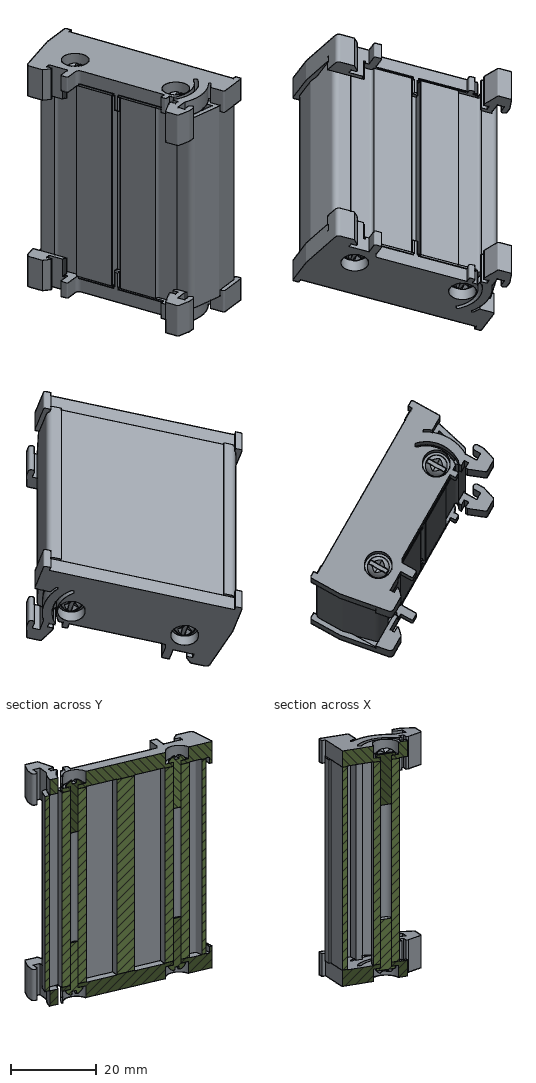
import cadquery as cq
import math


OVERALL_LENGTH = 58.0
CAP_WIDTH = 48.2
CAP_HEIGHT = 23.6
PLATE_THICKNESS = 4.0
RIM_DEPTH = 5.6
FOOT_DEPTH = 8.0
SKIRT = 1.12

CAP_END = OVERALL_LENGTH / 2
PROFILE_END = CAP_END - PLATE_THICKNESS
HALF_CAP = CAP_WIDTH / 2
CAP_TOP = CAP_HEIGHT / 2
CAP_BOTTOM = -CAP_TOP

SCREW_X = 13.76
SCREW_Y = -0.58
HEAD_RADIUS = 2.55
HEAD_HEIGHT = 1.8
HEAD_DOME = 1.5
SHANK_RADIUS = 1.4
SHANK_LENGTH = 12.0
DRIVE_SLOT_WIDTH = 1.0
DRIVE_DEPTH = 1.2
DRIVE_RECESS_RADIUS = 2.6
DRIVE_RECESS_FLOOR_RADIUS = 0.5
COUNTERBORE_RADIUS = 3.22
COUNTERBORE_DEPTH = 3.0

PROFILE_HALF_WIDTH = HALF_CAP - SKIRT
LIP_DROP = 0.48
PROFILE_TOP = CAP_TOP - LIP_DROP
PROFILE_BOTTOM = -4.87
PROFILE_KINK_Y = 3.75
PROFILE_TAPER = math.radians(14)
PROFILE_CORNER = 1.45
CAVITY_CORNER = 0.3
WALL = 1.35
LIP_INNER_X = 19.75
CHANNEL_WIDTH = 5.9
CHANNEL_DEPTH = 0.8
CHANNEL_FILLET = 0.65
GROOVE_WIDTH = 2.1
GROOVE_DEPTH = 2.5
GROOVE_CHAMFER = 0.2
PORT_RADIUS = 3.35
GUIDE_TOP = 4.7
GUIDE_THICKNESS = 1.67
GUIDE_INNER_X = 18.9

CAP_CORNER_HEIGHT = 1.0
CAP_FACE_Y = CAP_TOP - CAP_CORNER_HEIGHT
CAP_CORNER_WIDTH = 1.65
CAP_KINK_Y = 3.85
CAP_TAPER = math.radians(9.5)
PLATE_BOTTOM = -4.65
FOOT_BOTTOM = -8.85
FOOT_CORNER = 1.0
FOOT_END_X = -13.4
FOOT_STEP_WIDTH = 0.5
FOOT_STEP_Y = -5.3
RAIL_SEAT_Y = -5.9
HOOK_LIP_Y = -7.0
HOOK_ROOT_X = -17.6
HOOK_TIP_X = -16.2
HOOK_TIP_Y = -7.4
LEG_LEFT = -12.55
LEG_RIGHT = -10.6
LEG_BOTTOM = -9.05
LEG_FILLET = 1.0
STUB_LEFT = 13.05
STUB_RIGHT = 14.5
STUB_BOTTOM = -6.15
RIGHT_SIDE_BOTTOM = 4.1
LEDGE_THICKNESS = 0.5
LEDGE_END_X = 15.2
OUTER_CORNER = 0.4
LEG_CORNER = 0.3
LATCH_CORNER = 0.4
KEY_WIDTH = 1.3
KEY_HEIGHT = 1.2
KEY_BEVEL = 0.33

ARM_CENTRE_X = 9.83
ARM_CENTRE_Y = -0.1
ARM_INNER_RADIUS = 8.4
ARM_OUTER_RADIUS = 10.67
SLOT_WIDTH = 1.0
SLOT_START = math.radians(45)
NOTCH_WIDTH = 0.6
NOTCH_START = math.radians(31.5)
ARM_INNER_END_Y = -4.7
ARM_OUTER_END_Y = -5.3
LATCH_NOSE_X = 16.2
LATCH_NOSE_Y = -5.3
LATCH_SEAT_X = 17.6
LATCH_TIP_Y = -7.6
LATCH_BASE_LEFT = 17.8
LATCH_BASE_RIGHT = 21.25
RELEASE_LEFT = 19.1
RELEASE_RIGHT = 20.9
RELEASE_OUTER = 22.35
RELEASE_FLOOR = -8.4
RELEASE_TOP = -6.1
RELEASE_ROUND = 0.7


def box(x0, x1, y0, y1, z0, z1):
    return cq.Workplane("XY").box(x1 - x0, y1 - y0, z1 - z0, centered=False).translate((x0, y0, z0))


def cylinder(x, y, radius, z0, z1):
    return cq.Workplane("XY").circle(radius).extrude(z1 - z0).translate((x, y, z0))


def arm_point(radius, angle):
    """Point on an arc about the spring arm centre."""
    return (ARM_CENTRE_X + radius * math.cos(angle), ARM_CENTRE_Y + radius * math.sin(angle))


def arm_angle(radius, y):
    """Angle at which an arc about the spring arm centre reaches height y."""
    return math.asin((y - ARM_CENTRE_Y) / radius)


def profile_blank(inset=0.0, corner=PROFILE_CORNER):
    """Filled six-sided section of the profile, all sides moved in by inset."""
    half_width = PROFILE_HALF_WIDTH - inset
    kink_y = PROFILE_KINK_Y - inset * math.tan(PROFILE_TAPER / 2)
    bottom = PROFILE_BOTTOM + inset
    bottom_half = half_width - (kink_y - bottom) * math.tan(PROFILE_TAPER)
    points = [
        (-half_width, PROFILE_TOP - inset), (half_width, PROFILE_TOP - inset), (half_width, kink_y),
        (bottom_half, bottom), (-bottom_half, bottom), (-half_width, kink_y),
    ]
    blank = (
        cq.Workplane("XY").workplane(offset=-PROFILE_END)
        .polyline(points).close().extrude(2 * PROFILE_END)
    )
    return blank.edges("|Z and (>Y or <Y)").fillet(corner)


def make_profile():
    bar_length = 2 * PROFILE_END
    cavity = profile_blank(WALL, CAVITY_CORNER).intersect(
        box(-HALF_CAP, HALF_CAP, PROFILE_BOTTOM, CAP_FACE_Y - WALL, -PROFILE_END, PROFILE_END)
    )
    fillings = box(
        -GROOVE_WIDTH / 2 - WALL, GROOVE_WIDTH / 2 + WALL,
        PROFILE_BOTTOM, PROFILE_BOTTOM + GROOVE_DEPTH + WALL, -PROFILE_END, PROFILE_END,
    )
    for side in (-1, 1):
        screw_x = side * SCREW_X
        port = cylinder(screw_x, SCREW_Y, PORT_RADIUS, -PROFILE_END, PROFILE_END)
        port_web = box(
            screw_x - PORT_RADIUS, screw_x + PORT_RADIUS, PROFILE_BOTTOM, SCREW_Y, -PROFILE_END, PROFILE_END
        )
        guide_ends = sorted((side * GUIDE_INNER_X, side * HALF_CAP))
        guide = box(*guide_ends, GUIDE_TOP - GUIDE_THICKNESS, GUIDE_TOP, -PROFILE_END, PROFILE_END)
        fillings = fillings.union(port).union(port_web).union(guide)
    body = profile_blank().cut(cavity.cut(fillings))

    body = body.cut(box(-LIP_INNER_X, LIP_INNER_X, CAP_FACE_Y, CAP_TOP, -PROFILE_END, PROFILE_END))
    for side in (-1, 1):
        channel = box(
            side * SCREW_X - CHANNEL_WIDTH / 2, side * SCREW_X + CHANNEL_WIDTH / 2,
            PROFILE_BOTTOM, PROFILE_BOTTOM + CHANNEL_DEPTH, -PROFILE_END, PROFILE_END,
        ).edges("|Z and >Y").fillet(CHANNEL_FILLET)
        screw_hole = cylinder(side * SCREW_X, SCREW_Y, SHANK_RADIUS, -PROFILE_END, PROFILE_END)
        body = body.cut(channel).cut(screw_hole)
    mouth = GROOVE_WIDTH / 2 + GROOVE_CHAMFER
    groove = (
        cq.Workplane("XY").workplane(offset=-PROFILE_END).center(0, PROFILE_BOTTOM)
        .polyline([
            (-mouth, 0), (mouth, 0), (GROOVE_WIDTH / 2, GROOVE_CHAMFER), (GROOVE_WIDTH / 2, GROOVE_DEPTH),
            (-GROOVE_WIDTH / 2, GROOVE_DEPTH), (-GROOVE_WIDTH / 2, GROOVE_CHAMFER),
        ]).close().extrude(bar_length)
    )
    return body.cut(groove)


def cap_outline():
    """Outline of the upper cap, with the hook foot at -X and the spring latch at +X."""
    slot_radius = ARM_INNER_RADIUS - SLOT_WIDTH
    slot_mouth = arm_angle(slot_radius, PLATE_BOTTOM)
    arm_inner_end = arm_angle(ARM_INNER_RADIUS, ARM_INNER_END_Y)
    arm_outer_end = arm_angle(ARM_OUTER_RADIUS, ARM_OUTER_END_Y)
    notch_radius = ARM_OUTER_RADIUS + NOTCH_WIDTH
    notch_corner = (
        ARM_CENTRE_X + notch_radius * math.cos(arm_angle(notch_radius, RIGHT_SIDE_BOTTOM)), RIGHT_SIDE_BOTTOM
    )
    foot_corner_x = -HALF_CAP + (CAP_KINK_Y - FOOT_BOTTOM) * math.tan(CAP_TAPER)
    foot_setback = FOOT_CORNER * math.tan(math.pi / 4 - CAP_TAPER / 2)
    half_bend = (math.pi / 2 - CAP_TAPER) / 2
    rounding_x = foot_corner_x + foot_setback
    rounding_y = FOOT_BOTTOM + FOOT_CORNER
    taper_end = (
        rounding_x - FOOT_CORNER * math.cos(CAP_TAPER),
        rounding_y - FOOT_CORNER * math.sin(CAP_TAPER),
    )
    rounding_angle = CAP_TAPER + half_bend
    rounding_mid = (
        rounding_x - FOOT_CORNER * math.cos(rounding_angle),
        rounding_y - FOOT_CORNER * math.sin(rounding_angle),
    )
    return (
        cq.Workplane("XY")
        .moveTo(-HALF_CAP, CAP_TOP)
        .lineTo(-HALF_CAP, CAP_KINK_Y)
        .lineTo(*taper_end)
        .threePointArc(rounding_mid, (rounding_x, FOOT_BOTTOM))
        .lineTo(HOOK_ROOT_X, FOOT_BOTTOM)
        .lineTo(HOOK_TIP_X, HOOK_TIP_Y)
        .lineTo(HOOK_TIP_X, HOOK_LIP_Y)
        .lineTo(HOOK_ROOT_X, HOOK_LIP_Y)
        .lineTo(HOOK_ROOT_X, RAIL_SEAT_Y)
        .lineTo(LEG_LEFT, RAIL_SEAT_Y)
        .lineTo(LEG_LEFT, LEG_BOTTOM)
        .lineTo(LEG_RIGHT, LEG_BOTTOM)
        .lineTo(LEG_RIGHT, PLATE_BOTTOM - LEG_FILLET)
        .radiusArc((LEG_RIGHT + LEG_FILLET, PLATE_BOTTOM), LEG_FILLET)
        .lineTo(STUB_LEFT, PLATE_BOTTOM)
        .lineTo(STUB_LEFT, STUB_BOTTOM)
        .lineTo(STUB_RIGHT, STUB_BOTTOM)
        .lineTo(STUB_RIGHT, PLATE_BOTTOM)
        .lineTo(*arm_point(slot_radius, slot_mouth))
        .threePointArc(arm_point(slot_radius, 0), arm_point(slot_radius, SLOT_START))
        .radiusArc(arm_point(ARM_INNER_RADIUS, SLOT_START), SLOT_WIDTH / 2)
        .threePointArc(arm_point(ARM_INNER_RADIUS, 0), arm_point(ARM_INNER_RADIUS, arm_inner_end))
        .lineTo(LATCH_NOSE_X, LATCH_NOSE_Y)
        .lineTo(LATCH_NOSE_X, RAIL_SEAT_Y)
        .lineTo(LATCH_SEAT_X, RAIL_SEAT_Y)
        .lineTo(LATCH_SEAT_X, HOOK_LIP_Y)
        .lineTo(LATCH_NOSE_X, HOOK_LIP_Y)
        .lineTo(LATCH_NOSE_X, LATCH_TIP_Y)
        .lineTo(LATCH_BASE_LEFT, CAP_BOTTOM)
        .lineTo(LATCH_BASE_RIGHT, CAP_BOTTOM)
        .lineTo(RELEASE_OUTER, RELEASE_FLOOR)
        .lineTo(RELEASE_OUTER, RELEASE_TOP - RELEASE_ROUND)
        .radiusArc((RELEASE_OUTER - RELEASE_ROUND, RELEASE_TOP), -RELEASE_ROUND)
        .lineTo(RELEASE_RIGHT + RELEASE_ROUND, RELEASE_TOP)
        .radiusArc((RELEASE_RIGHT, RELEASE_TOP - RELEASE_ROUND), -RELEASE_ROUND)
        .lineTo(RELEASE_RIGHT, RELEASE_FLOOR)
        .lineTo(RELEASE_LEFT, RELEASE_FLOOR)
        .lineTo(RELEASE_LEFT, ARM_OUTER_END_Y)
        .lineTo(*arm_point(ARM_OUTER_RADIUS, arm_outer_end))
        .threePointArc(arm_point(ARM_OUTER_RADIUS, 0), arm_point(ARM_OUTER_RADIUS, NOTCH_START))
        .radiusArc(arm_point(notch_radius, NOTCH_START), NOTCH_WIDTH / 2)
        .lineTo(*notch_corner)
        .lineTo(HALF_CAP, RIGHT_SIDE_BOTTOM)
        .lineTo(HALF_CAP, CAP_TOP)
        .lineTo(HALF_CAP - CAP_CORNER_WIDTH, CAP_TOP)
        .lineTo(HALF_CAP - CAP_CORNER_WIDTH, CAP_FACE_Y)
        .lineTo(-HALF_CAP + CAP_CORNER_WIDTH, CAP_FACE_Y)
        .lineTo(-HALF_CAP + CAP_CORNER_WIDTH, CAP_TOP)
        .close()
    )


def make_key():
    """Bevelled rib that enters the central groove of the profile."""
    key = box(
        -KEY_WIDTH / 2, KEY_WIDTH / 2, PLATE_BOTTOM, PLATE_BOTTOM + KEY_HEIGHT,
        CAP_END - FOOT_DEPTH, PROFILE_END,
    )
    return key.faces("<Y").edges("|Z or <Z").chamfer(KEY_BEVEL)


def round_cap_corners(cap):
    """Round the exposed corners of the cap, given as radius and position."""
    corners = [
        (OUTER_CORNER, -HALF_CAP, CAP_TOP), (OUTER_CORNER, HALF_CAP, CAP_TOP),
        (OUTER_CORNER, HALF_CAP, RIGHT_SIDE_BOTTOM),
        (LEG_CORNER, LEG_LEFT, LEG_BOTTOM), (LEG_CORNER, LEG_RIGHT, LEG_BOTTOM),
        (LEG_CORNER, STUB_LEFT, STUB_BOTTOM), (LEG_CORNER, STUB_RIGHT, STUB_BOTTOM),
        (LATCH_CORNER, LATCH_BASE_LEFT, CAP_BOTTOM), (LATCH_CORNER, LATCH_BASE_RIGHT, CAP_BOTTOM),
        (LATCH_CORNER, RELEASE_OUTER, RELEASE_FLOOR),
    ]
    middle_z = CAP_END - FOOT_DEPTH / 2
    for radius, x, y in corners:
        cap = cap.edges(cq.selectors.NearestToPointSelector((x, y, middle_z))).fillet(radius)
    return cap


def make_upper_cap():
    foot_z = CAP_END - FOOT_DEPTH
    cap = cap_outline().extrude(FOOT_DEPTH).translate((0, 0, foot_z))
    cap = round_cap_corners(cap)
    cap = cap.cut(box(-HALF_CAP, HALF_CAP, PROFILE_BOTTOM, CAP_TOP, foot_z, CAP_END - RIM_DEPTH))
    cap = cap.cut(box(FOOT_END_X, STUB_RIGHT, LEG_BOTTOM, PROFILE_BOTTOM, foot_z, PROFILE_END))
    open_half = HALF_CAP - CAP_CORNER_WIDTH
    cap = cap.cut(box(-open_half, open_half, PROFILE_BOTTOM, CAP_TOP, foot_z, PROFILE_END))
    cap = cap.cut(profile_blank())
    for start, end in ((FOOT_END_X, -KEY_WIDTH / 2), (KEY_WIDTH / 2, LEDGE_END_X)):
        cap = cap.union(
            box(start, end, PROFILE_BOTTOM, PLATE_BOTTOM, PROFILE_END, PROFILE_END + LEDGE_THICKNESS)
        )
    cap = cap.cut(box(
        FOOT_END_X - FOOT_STEP_WIDTH, FOOT_END_X, FOOT_BOTTOM, FOOT_STEP_Y,
        foot_z, PROFILE_END + LEDGE_THICKNESS,
    ))
    cap = cap.union(make_key())
    for side in (-1, 1):
        screw_x = side * SCREW_X
        counterbore = cylinder(screw_x, SCREW_Y, COUNTERBORE_RADIUS, CAP_END - COUNTERBORE_DEPTH, CAP_END)
        shank_hole = cylinder(screw_x, SCREW_Y, SHANK_RADIUS, PROFILE_END, CAP_END)
        cap = cap.cut(counterbore).cut(shank_hole)
    return cap


def make_upper_screw(x):
    """Domed screw with a straight slot and a four-cornered centre recess."""
    rim_height = HEAD_HEIGHT - HEAD_DOME
    dome_radius = (HEAD_RADIUS**2 + HEAD_DOME**2) / (2 * HEAD_DOME)
    half_angle = math.asin(HEAD_RADIUS / dome_radius) / 2
    dome_mid = (
        dome_radius * math.sin(half_angle), HEAD_HEIGHT - dome_radius * (1 - math.cos(half_angle))
    )
    screw = (
        cq.Workplane("XZ")
        .moveTo(0, -SHANK_LENGTH).lineTo(SHANK_RADIUS, -SHANK_LENGTH)
        .lineTo(SHANK_RADIUS, 0).lineTo(HEAD_RADIUS, 0).lineTo(HEAD_RADIUS, rim_height)
        .threePointArc(dome_mid, (0, HEAD_HEIGHT)).close()
        .revolve(360, (0, 0, 0), (0, 1, 0))
    )
    slot = box(
        -DRIVE_SLOT_WIDTH / 2, DRIVE_SLOT_WIDTH / 2, -HEAD_RADIUS, HEAD_RADIUS,
        HEAD_HEIGHT - DRIVE_DEPTH, HEAD_HEIGHT,
    )
    recess = (
        cq.Workplane("XY").workplane(offset=HEAD_HEIGHT)
        .polygon(4, 2 * DRIVE_RECESS_RADIUS)
        .workplane(offset=-DRIVE_DEPTH).polygon(4, 2 * DRIVE_RECESS_FLOOR_RADIUS).loft(ruled=True)
    )
    return screw.cut(slot).cut(recess).translate((x, SCREW_Y, CAP_END - COUNTERBORE_DEPTH))


profile = make_profile()
upper_cap = make_upper_cap()
upper_screws = [make_upper_screw(side * SCREW_X) for side in (-1, 1)]

bodies = [profile.val()]
for upper_body in [upper_cap, *upper_screws]:
    bodies += [upper_body.val(), upper_body.mirror("XY").val()]

result = cq.Compound.makeCompound(bodies)